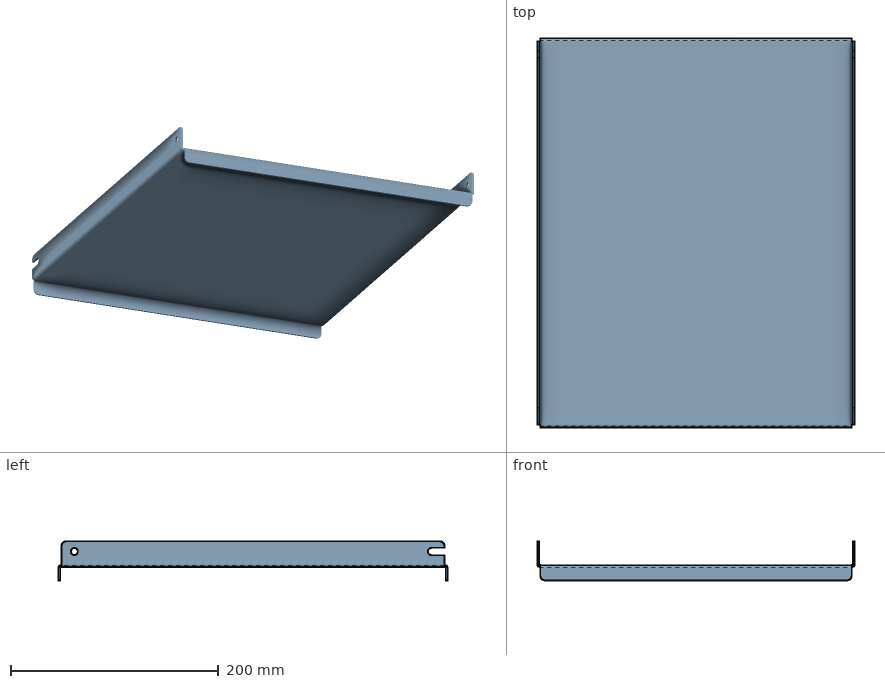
import cadquery as cq

overall_width = 306.0
overall_length = 375.0
overall_height = 38.0

thickness = 2.0
inner_bend_radius = 1.0
outer_bend_radius = inner_bend_radius + thickness

side_flange_height = 25.0
end_flange_height = overall_height - side_flange_height + thickness
flange_corner_radius = 5.0

mount_drop = 10.0
hole_diameter = 6.5
hole_inset = 12.5
slot_width = 7.0
slot_depth = 16.0

floor_width = overall_width - 2 * outer_bend_radius
floor_length = overall_length - 2 * outer_bend_radius
floor_bottom = end_flange_height - thickness
mount_height = overall_height - mount_drop


def flange_solid(height, length):
    """Bend and upright leg: the bend starts at the origin and rises at +X; extruded along Y."""
    profile = (
        cq.Workplane("XZ")
        .moveTo(0, 0)
        .radiusArc((outer_bend_radius, outer_bend_radius), -outer_bend_radius)
        .lineTo(outer_bend_radius, height)
        .lineTo(inner_bend_radius, height)
        .lineTo(inner_bend_radius, outer_bend_radius)
        .radiusArc((0, thickness), inner_bend_radius)
        .close()
    )
    return profile.extrude(length / 2, both=True)


def rounded_flange(height, length):
    """Flange with its two free corners rounded."""
    flange = flange_solid(height, length)
    return flange.faces(">Z").edges("|X").fillet(flange_corner_radius)


def make_floor():
    """Flat rectangle between the four bends."""
    floor = cq.Workplane("XY").box(floor_width, floor_length, thickness, centered=(True, True, False))
    return floor.translate((0, 0, floor_bottom))


def make_side_flange():
    """Upturned flange on the +X side."""
    flange = rounded_flange(side_flange_height, floor_length)
    return flange.translate((floor_width / 2, 0, floor_bottom))


def make_end_flange():
    """Downturned flange on the +Y end."""
    flange = rounded_flange(end_flange_height, floor_width)
    flange = flange.rotate((0, 0, 0), (1, 0, 0), 180).rotate((0, 0, 0), (0, 0, 1), 90)
    return flange.translate((0, floor_length / 2, end_flange_height))


def make_hole_cutter():
    """Round hole through both side flanges, near their +Y end."""
    return (
        cq.Workplane("YZ")
        .center(floor_length / 2 - hole_inset, mount_height)
        .circle(hole_diameter / 2)
        .extrude(overall_width, both=True)
    )


def make_slot_cutter():
    """Slot with a full-round end, open through the -Y edge of the side flanges."""
    return (
        cq.Workplane("YZ")
        .center(-floor_length / 2, mount_height)
        .slot2D(2 * slot_depth, slot_width)
        .extrude(overall_width, both=True)
    )


side_flange = make_side_flange()
end_flange = make_end_flange()

result = (
    make_floor()
    .union(side_flange)
    .union(side_flange.mirror("YZ"))
    .union(end_flange)
    .union(end_flange.mirror("XZ"))
    .cut(make_hole_cutter())
    .cut(make_slot_cutter())
)